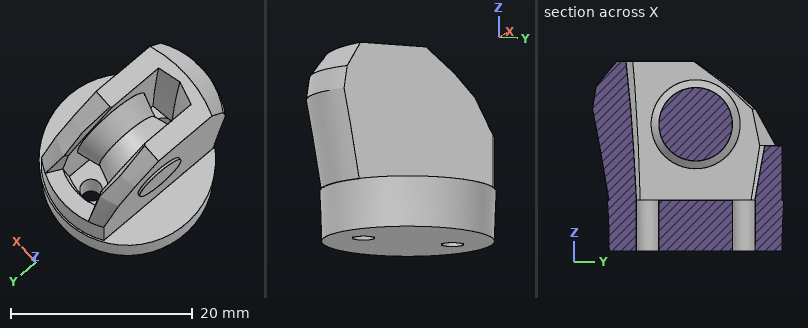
import cadquery as cq

base_height = 5.6
base_bottom_radius = 9.55
base_top_radius = 9.747

half_width = 5.24
shoulder_z = 11.62
top_z = 20.9
housing_levels = [
    (base_height, 9.57, 1.58, 9.55, 1.56),
    (shoulder_z, 10.6, 1.58, 9.55, 1.56),
    (15.63, 11.373, 1.58, 7.0, 1.16),
    (18.16, 10.98, 1.56, 4.01, 0.61),
    (top_z, 8.72, 0.9, 0.0, 0.0),
]

slot_half_width = 2.72
slot_rear_levels = [
    (base_height, 6.5, 6.1),
    (shoulder_z, 7.6, 7.05),
]
slot_front_levels = [
    (base_height, 6.5, 6.1),
    (shoulder_z, 6.85, 6.31),
    (15.63, 7.14, 6.55),
    (18.16, 7.4, 6.7),
    (top_z, 7.67, 6.93),
]
mouth_flares = [
    (7.05, 3.61, 8.83),
    (6.23, 3.02, 6.63),
    (3.48, 3.2, 3.78),
    (-0.21, 2.91, 0.0),
]
mouth_end_y = 12.67

pulley_z = 13.95
pulley_rim_radius = 4.9
pulley_groove_radius = 4.05
pin_radius = 3.01
pin_projection = 0.3

hole_radius = 1.235
hole_offset = 5.3


def ruled_loft(wires):
    return cq.Workplane(obj=cq.Solid.makeLoft(wires, True))


def housing_section(z, front, front_bulge, rear, rear_bulge):
    front_corner = front_bulge - front
    rear_corner = rear - rear_bulge
    outline = (
        cq.Workplane(origin=(0, 0, z))
        .moveTo(-half_width, front_corner)
        .threePointArc((0, -front), (half_width, front_corner))
        .lineTo(half_width, rear_corner)
    )
    if rear_bulge > 0:
        outline = outline.threePointArc((0, rear), (-half_width, rear_corner))
    else:
        outline = outline.lineTo(-half_width, rear_corner)
    return outline.close().val()


def closed_slot_section(front_level, rear_level):
    z, front_mid, front_side = front_level
    _, rear_mid, rear_side = rear_level
    return (
        cq.Workplane(origin=(0, 0, z))
        .moveTo(-slot_half_width, -front_side)
        .lineTo(0, -front_mid)
        .lineTo(slot_half_width, -front_side)
        .lineTo(slot_half_width, rear_side)
        .threePointArc((0, rear_mid), (-slot_half_width, rear_side))
        .close()
        .val()
    )


def open_slot_section(front_level, flare):
    z, front_mid, front_side = front_level
    flare_start_y, flare_x, flare_y = flare
    right_side = [
        (slot_half_width, -front_side),
        (slot_half_width, flare_start_y),
        (flare_x, flare_y),
        (flare_x, mouth_end_y),
    ]
    left_side = [(-x, y) for x, y in reversed(right_side)]
    points = [(0, -front_mid)] + right_side + left_side
    return cq.Workplane(origin=(0, 0, z)).polyline(points).close().val()


def make_base():
    profile = [
        (0, 0),
        (base_bottom_radius, 0),
        (base_top_radius, base_height),
        (0, base_height),
    ]
    return cq.Workplane("XZ").polyline(profile).close().revolve(360, (0, 0), (0, 1))


def make_slot():
    closed_part = ruled_loft(
        [closed_slot_section(f, r) for f, r in zip(slot_front_levels, slot_rear_levels)]
    )
    open_part = ruled_loft(
        [open_slot_section(f, m) for f, m in zip(slot_front_levels[1:], mouth_flares)]
    )
    return closed_part.union(open_part)


def make_pulley():
    profile = [
        (-slot_half_width, 0),
        (-slot_half_width, pulley_rim_radius),
        (0, pulley_groove_radius),
        (slot_half_width, pulley_rim_radius),
        (slot_half_width, 0),
    ]
    pulley = cq.Workplane("XY").polyline(profile).close().revolve(360, (0, 0), (1, 0))
    return pulley.translate((0, 0, pulley_z))


def make_pin():
    return (
        cq.Workplane("YZ", origin=(-half_width - pin_projection, 0, pulley_z))
        .circle(pin_radius)
        .extrude(2 * half_width + pin_projection)
    )


housing = ruled_loft([housing_section(*level) for level in housing_levels])
housing = housing.cut(make_slot())

cord_holes = (
    cq.Workplane("XY")
    .pushPoints([(0, -hole_offset), (0, hole_offset)])
    .circle(hole_radius)
    .extrude(base_height)
)
base = make_base().cut(cord_holes)

pin = make_pin().cut(make_slot())
result = base.union(housing).union(make_pulley()).union(pin)